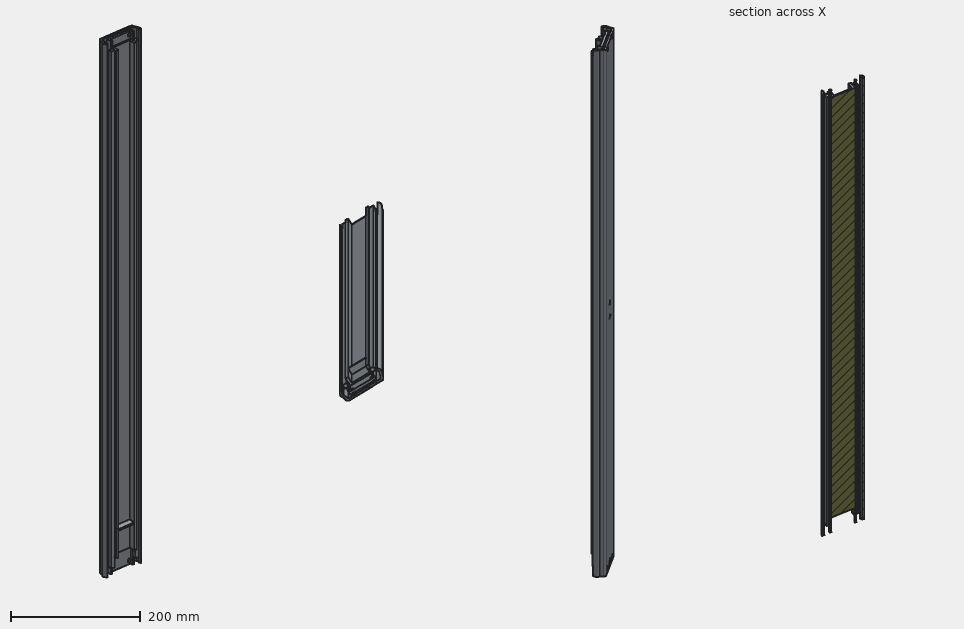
import cadquery as cq
import math


length = 950.0
depth = 26.0
half_width = 37.5

sheet = 4.0
web_half = 29.0
shoulder_x = 4.0
shoulder_y = 34.0
race_radius = 7.1
race_center_x = 14.0
race_center_y = half_width - race_radius
race_start_angle = 135
race_end_angle = 30
crown_angle = 90
corner_bow = math.sqrt(0.5)

screw_hole_diameter = 7.0
screw_hole_y = 18.5
end_hole_inset = 7.0
dimple_diameter = 13.0
dimple_bottom_diameter = 7.0
middle_hole_diameter = 7.0
half_round_z = -27.0
half_round_radius = 4.3

end_inset = 14.0
inner_bottom_inset = 31.0

middle_back_x = 7.0
middle_web = 5.0
middle_half_width = 24.0
middle_flange = 3.0
middle_front_x = 16.0

inner_back_x = middle_back_x + middle_web
inner_web = 3.0
inner_half_width = middle_half_width - middle_flange
inner_flange = 5.0
inner_bottom = -length / 2 + inner_bottom_inset
inner_length = length - end_inset - inner_bottom_inset
stop_height = 47.5
stop_thickness = 3.0

retainer_front_x = 23.0
retainer_thickness = 7.1
retainer_bottom = -length / 2 + end_inset
retainer_length = length - 2 * end_inset


def box(x_min, x_max, y_min, y_max, z_min, height):
    """Block given by its X and Y limits, its lower end and its height."""
    return (
        cq.Workplane("XY", origin=(0, 0, z_min))
        .moveTo((x_min + x_max) / 2, (y_min + y_max) / 2)
        .rect(x_max - x_min, y_max - y_min)
        .extrude(height)
    )


def channel(back_x, front_x, web, half, flange, bottom, height):
    """U-shaped rail, open towards +X."""
    hollow_half = half - flange
    hollow = box(back_x + web, front_x, -hollow_half, hollow_half, bottom, height)
    return box(back_x, front_x, -half, half, bottom, height).cut(hollow)


def race_point(radius, angle, side):
    """Point of the ball race at an angle in degrees measured from +X."""
    turn = math.radians(angle)
    return (
        race_center_x + radius * math.cos(turn),
        side * (race_center_y + radius * math.sin(turn)),
    )


def race(side):
    """Rounded edge of the web with its bulged race; side is +1 or -1 along Y."""
    corner_x = shoulder_x * (1 - corner_bow)
    corner_y = web_half + (shoulder_y - web_half) * corner_bow
    inner_radius = race_radius - sheet
    return (
        cq.Workplane("XY", origin=(0, 0, -length / 2))
        .moveTo(0, side * web_half)
        .threePointArc((corner_x, side * corner_y), (shoulder_x, side * shoulder_y))
        .lineTo(*race_point(race_radius, race_start_angle, side))
        .threePointArc(
            race_point(race_radius, crown_angle, side),
            race_point(race_radius, race_end_angle, side),
        )
        .lineTo(*race_point(inner_radius, race_end_angle, side))
        .threePointArc(
            race_point(inner_radius, crown_angle, side),
            race_point(inner_radius, race_start_angle, side),
        )
        .lineTo(sheet, side * web_half)
        .close()
        .extrude(length)
    )


def screw_holes():
    """Cutters for the four screw holes through the webs of the outer and middle rails."""
    z = length / 2 - end_hole_inset
    return (
        cq.Workplane("YZ")
        .rect(2 * screw_hole_y, 2 * z, forConstruction=True)
        .vertices()
        .circle(screw_hole_diameter / 2)
        .extrude(middle_back_x + middle_web)
    )


def middle_hole():
    """Round cutter through the centre of the outer rail web."""
    return cq.Workplane("YZ").circle(middle_hole_diameter / 2).extrude(sheet)


def countersink():
    """Conical cutter through the web, wide at the mounting face."""
    return (
        cq.Workplane("YZ")
        .center(0, -length / 2 + end_hole_inset)
        .circle(dimple_diameter / 2)
        .workplane(offset=sheet)
        .circle(dimple_bottom_diameter / 2)
        .loft(combine=True)
    )


def half_round_hole():
    """Half-round cutter through the web, with its flat side down."""
    return (
        cq.Workplane("YZ")
        .moveTo(-half_round_radius, half_round_z)
        .threePointArc((0, half_round_z + half_round_radius), (half_round_radius, half_round_z))
        .close()
        .extrude(sheet)
    )


def make_outer_rail():
    rail = box(0, sheet, -web_half, web_half, -length / 2, length)
    for side in (1, -1):
        rail = rail.union(race(side))
    for cutter in (screw_holes(), middle_hole(), half_round_hole(), countersink()):
        rail = rail.cut(cutter)
    return rail


def make_middle_rail():
    rail = channel(middle_back_x, middle_front_x, middle_web, middle_half_width, middle_flange,
                   -length / 2, length)
    return rail.cut(screw_holes())


def make_inner_rail():
    rail = channel(inner_back_x, depth, inner_web, inner_half_width, inner_flange,
                   inner_bottom, inner_length)
    stop_half = inner_half_width - inner_flange
    stop = box(inner_back_x + inner_web, depth, -stop_half, stop_half,
               inner_bottom + stop_height, stop_thickness)
    return rail.union(stop)


def make_retainer(side):
    near_y = side * inner_half_width
    far_y = side * (inner_half_width + retainer_thickness)
    return box(middle_front_x, retainer_front_x, min(near_y, far_y), max(near_y, far_y),
               retainer_bottom, retainer_length)


outer_rail = make_outer_rail()
middle_rail = make_middle_rail()
inner_rail = make_inner_rail()
retainers = [make_retainer(side) for side in (1, -1)]

result = cq.Compound.makeCompound(
    [outer_rail.val(), middle_rail.val(), inner_rail.val(), *[strip.val() for strip in retainers]]
)